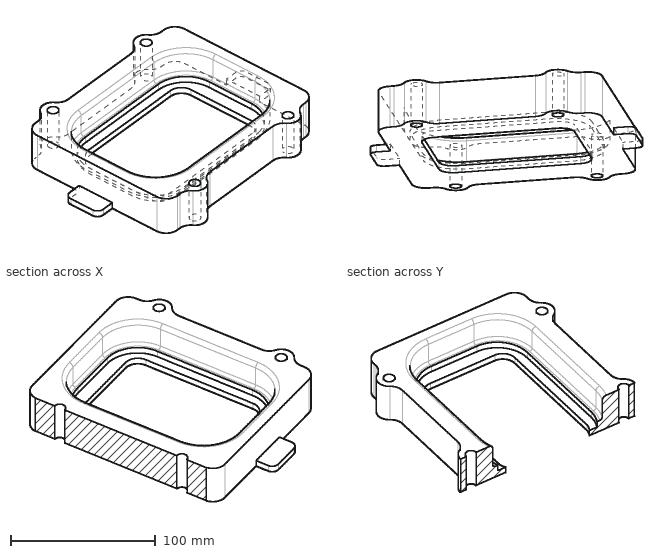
import cadquery as cq

body_width = 128.0
body_length = 158.0
body_height = 30.0
body_corner_radius = 10.0

ear_radius = 9.0
ear_blend_radius = 10.0
bolt_hole_diameter = 8.0
bolt_spacing_x = body_width
bolt_spacing_y = 100.0

overall_length = 188.0
tab_width = 30.0
tab_thickness = 5.0
tab_corner_radius = 5.0
tab_offset_x = -1.1

floor_thickness = 5.0
ledge_height = 10.0
pocket_width = 96.0
pocket_length = 136.0
pocket_corner_radius = 29.0
pocket_rim_radius = 3.0
pocket_base_radius = 2.0
ledge_width = 4.0
window_width = 74.0
window_length = 108.0
window_corner_radius = 10.0


def rounded_block(width, length, corner_radius, bottom, top):
    """Centred block with rounded vertical edges, from Z = bottom to Z = top."""
    block = cq.Workplane("XY").workplane(offset=bottom).rect(width, length).extrude(top - bottom)
    return block.edges("|Z").fillet(corner_radius)


def make_body():
    """Rounded frame with four ears blended into its long sides."""
    body = rounded_block(body_width, body_length, body_corner_radius, 0, body_height)
    ears = (
        cq.Workplane("XY")
        .rect(bolt_spacing_x, bolt_spacing_y, forConstruction=True)
        .vertices()
        .circle(ear_radius)
        .extrude(body_height)
    )
    body = body.union(ears)
    side_x = body_width / 2
    for x in (-side_x, side_x):
        for ear_y in (-bolt_spacing_y / 2, bolt_spacing_y / 2):
            for y in (ear_y - ear_radius, ear_y + ear_radius):
                corner = cq.selectors.NearestToPointSelector((x, y, body_height / 2))
                body = body.edges("|Z").edges(corner).fillet(ear_blend_radius)
    return body


def make_tabs():
    """One flat strip that runs under the frame and sticks out at both ends."""
    strip = rounded_block(tab_width, overall_length, tab_corner_radius, 0, tab_thickness)
    return strip.translate((tab_offset_x, 0, 0))


def make_opening():
    """Stepped cutter for the pocket, the recess below its ledge and the window."""
    pocket = rounded_block(pocket_width, pocket_length, pocket_corner_radius, ledge_height, body_height)
    pocket = pocket.faces("<Z").edges().fillet(pocket_base_radius)
    recess = rounded_block(
        pocket_width - 2 * ledge_width,
        pocket_length - 2 * ledge_width,
        pocket_corner_radius - ledge_width,
        floor_thickness,
        body_height,
    )
    window = rounded_block(window_width, window_length, window_corner_radius, 0, body_height)
    return pocket.union(recess).union(window)


def round_pocket_rim(frame):
    """Round the top edge of the pocket wall."""
    margin = pocket_rim_radius / 2
    reach_x = pocket_width / 2 + margin
    reach_y = pocket_length / 2 + margin
    rim_zone = cq.selectors.BoxSelector(
        (-reach_x, -reach_y, body_height - margin),
        (reach_x, reach_y, body_height + margin),
    )
    return frame.edges(rim_zone).fillet(pocket_rim_radius)


def drill_bolt_holes(frame):
    """Drill a through hole in each ear."""
    return (
        frame.faces(">Z")
        .workplane(origin=(0, 0, body_height))
        .rect(bolt_spacing_x, bolt_spacing_y, forConstruction=True)
        .vertices()
        .hole(bolt_hole_diameter)
    )


frame = make_body().union(make_tabs()).cut(make_opening())
frame = round_pocket_rim(frame)
result = drill_bolt_holes(frame)